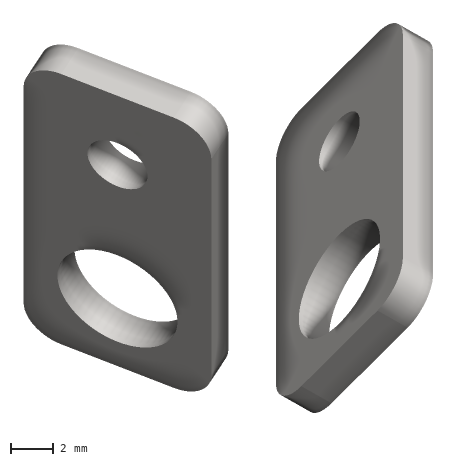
import cadquery as cq

width = 10.0
thickness = 1.8
height = 20.0
corner_radius = 2.0

small_hole_diameter = 3.2
small_hole_z = 4.9
large_hole_diameter = 6.4
large_hole_z = -height / 4


def rounded_plate():
    """Flat plate with its four corners rounded."""
    return cq.Workplane("XY").box(width, thickness, height).edges("|Y").fillet(corner_radius)


def hole_cutter(diameter, z):
    """Cylinder along Y that passes through the whole thickness."""
    return (
        cq.Workplane("XZ", origin=(0, thickness / 2, 0))
        .center(0, z)
        .circle(diameter / 2)
        .extrude(thickness)
    )


result = (
    rounded_plate()
    .cut(hole_cutter(small_hole_diameter, small_hole_z))
    .cut(hole_cutter(large_hole_diameter, large_hole_z))
)